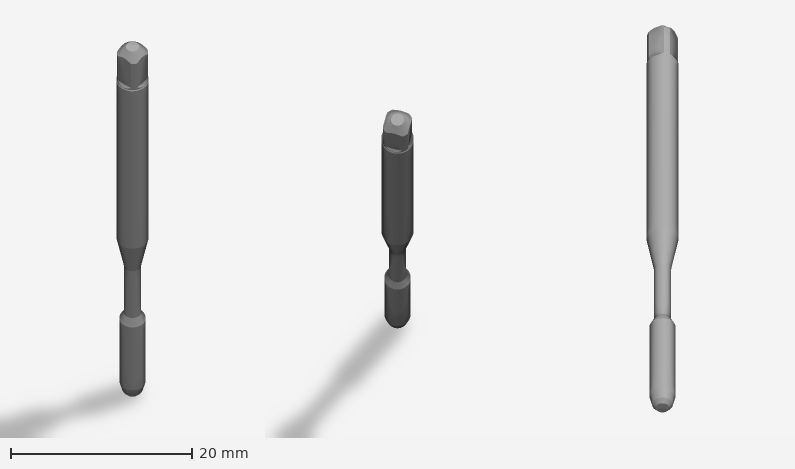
import cadquery as cq

TOTAL_LENGTH = 56.1
TIP_CONE_TOP = 0.5
LEAD_TOP = 1.8
BODY_JOINT = 12.7
NECK_BOTTOM = 13.0
NECK_TOP = 20.65
SHANK_BOTTOM = 25.2
SHANK_TOP = 50.75

TIP_DIAMETER = 1.5
LEAD_DIAMETER = 2.3
THREAD_DIAMETER = 2.9
NECK_DIAMETER = 1.9
SHANK_DIAMETER = 3.6
DRIVE_DIAMETER = 3.4
DRIVE_END_DIAMETER = 1.45

ACROSS_FLATS = 2.85
FLAT_BOTTOM = 51.2
CUTTER_OVERHANG = 0.55

CONE_RISE = 1.0
CONE_BOTTOM = NECK_BOTTOM - CONE_RISE
JOINT_FRACTION = (BODY_JOINT - CONE_BOTTOM) / CONE_RISE
JOINT_DIAMETER = THREAD_DIAMETER + JOINT_FRACTION * (NECK_DIAMETER - THREAD_DIAMETER)

DRIVE_CHAMFER = (DRIVE_DIAMETER - DRIVE_END_DIAMETER) / 2
SHOULDER_CHAMFER = (SHANK_DIAMETER - DRIVE_DIAMETER) / 2


def turned(stations):
    """Solid of revolution about Z through (diameter, height) stations, lowest first."""
    profile = [(diameter / 2, height) for diameter, height in stations]
    bottom = stations[0][1]
    top = stations[-1][1]
    outline = [(0, bottom)] + profile + [(0, top)]
    return cq.Workplane("XZ").polyline(outline).close().revolve(360, (0, 0, 0), (0, 1, 0))


def flat_cutter():
    """Prism along X that cuts the flat on the +Y side, with a 45 degree run-out at its foot."""
    inner = ACROSS_FLATS / 2
    outer = SHANK_DIAMETER / 2 + CUTTER_OVERHANG
    top = TOTAL_LENGTH + CUTTER_OVERHANG
    outline = [
        (inner, top),
        (inner, FLAT_BOTTOM),
        (outer, FLAT_BOTTOM - (outer - inner)),
        (outer, top),
    ]
    return cq.Workplane("YZ").polyline(outline).close().extrude(SHANK_DIAMETER, both=True)


def make_cutting_head():
    """Threaded end, kept as a plain cylinder, with its lead taper and pointed tip."""
    return turned([
        (TIP_DIAMETER, 0),
        (LEAD_DIAMETER, TIP_CONE_TOP),
        (THREAD_DIAMETER, LEAD_TOP),
        (THREAD_DIAMETER, CONE_BOTTOM),
        (JOINT_DIAMETER, BODY_JOINT),
    ])


def make_shank():
    """Neck, tapered shoulder and shank, ending in the square drive."""
    shank = turned([
        (JOINT_DIAMETER, BODY_JOINT),
        (NECK_DIAMETER, NECK_BOTTOM),
        (NECK_DIAMETER, NECK_TOP),
        (SHANK_DIAMETER, SHANK_BOTTOM),
        (SHANK_DIAMETER, SHANK_TOP),
        (DRIVE_DIAMETER, SHANK_TOP + SHOULDER_CHAMFER),
        (DRIVE_DIAMETER, TOTAL_LENGTH - DRIVE_CHAMFER),
        (DRIVE_END_DIAMETER, TOTAL_LENGTH),
    ])
    for angle in (0, 90, 180, 270):
        shank = shank.cut(flat_cutter().rotate((0, 0, 0), (0, 0, 1), angle))
    return shank


cutting_head = make_cutting_head()
shank = make_shank()

result = cq.Compound.makeCompound([cutting_head.val(), shank.val()])